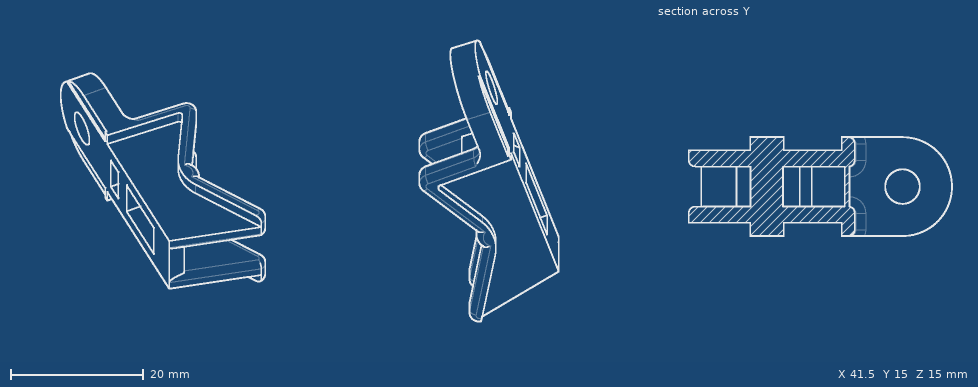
import cadquery as cq
import math


width = 15.0
total_length = 41.47
total_height = 15.0
lug_radius = width / 2
lug_thickness = 4.0
hole_diameter = 5.2
wall = 2.5
foot_end_x = 30.44

slot_width = 6.0
arm_width = (width - slot_width) / 2
rear_foot_x = 6.8
rear_lean = math.radians(3)
rear_slope = math.tan(rear_lean)
notch_angle = math.radians(30)
notch_slope = math.tan(notch_angle)
notch_x = 20.5
tip_radius = 1.5
arm_edge_radius = 1.0
root_radius = 1.5

bar_radius = 2.5
bar_y = 7.05

recess_depth = 2.0
rim_width = 2.0
rim_corner_radius = 0.5
rim_notch_radius = 6.0

cross_wall_height = 7.6
cross_wall_x = 8.0
wedge_start_x = 10.06
wedge_end_x = 12.72

window_start_x = 15.57
window_end_x = 25.1

pad_depth = 0.25
pad_end_x = 8.06
pad_inner_z = 5.33

lug_end_x = (cross_wall_x + wedge_start_x) / 2
front_tip_x = total_length - lug_radius
tip_center_y = total_height - tip_radius
front_corner_angle = notch_angle - math.asin((rim_width - tip_radius) / tip_radius)
front_corner_y = tip_center_y + tip_radius * math.sin(front_corner_angle)
tip_center_x = front_tip_x - tip_radius * math.cos(front_corner_angle)
notch_y = tip_center_y + tip_radius / math.cos(notch_angle) - (tip_center_x - notch_x) * notch_slope


def prism(outline, z_start, z_end):
    """Extrude a closed XY outline between two Z levels."""
    return outline.extrude(z_end - z_start).translate((0, 0, z_start))


def centered_prism(outline, depth):
    """Extrude a closed XY outline symmetrically about Z = 0."""
    return prism(outline, -depth / 2, depth / 2)


def both_sides(shape):
    """The +Z shape together with its mirror image at -Z."""
    return shape.union(shape.mirror("XY"))


def rear_crest(inset):
    """Corner where the rear wall meets the notch flank, both moved inwards by inset."""
    foot_x = rear_foot_x + inset / math.cos(rear_lean)
    flank_y = notch_y - inset / math.cos(notch_angle)
    y = (flank_y + (notch_x - foot_x) * notch_slope) / (1 + rear_slope * notch_slope)
    return foot_x, foot_x + y * rear_slope, y


def make_arm():
    """Arm at the +Z side with rounded edges along the rear, the notch and the tip."""
    foot_x, crest_x, crest_y = rear_crest(0)
    tip_start_x = tip_center_x - tip_radius * math.sin(notch_angle)
    tip_start_y = tip_center_y + tip_radius * math.cos(notch_angle)
    tip_mid_angle = (math.pi / 2 + notch_angle) / 2
    tip_mid = (
        tip_center_x + tip_radius * math.cos(tip_mid_angle),
        tip_center_y + tip_radius * math.sin(tip_mid_angle),
    )
    blank_bottom = -lug_thickness
    outline = (
        cq.Workplane("XY")
        .moveTo(foot_x + blank_bottom * rear_slope, blank_bottom)
        .lineTo(crest_x, crest_y)
        .lineTo(notch_x, notch_y)
        .lineTo(tip_start_x, tip_start_y)
        .threePointArc(tip_mid, (tip_center_x + tip_radius, tip_center_y))
        .lineTo(tip_center_x + tip_radius, blank_bottom)
        .close()
    )
    blank = prism(outline, slot_width / 2, width / 2)
    crest = cq.selectors.NearestToPointSelector((crest_x, crest_y, (slot_width + arm_width) / 2))
    blank = blank.edges("|Z").edges(crest).fillet(tip_radius)
    blank = blank.faces("<Z or >Z").edges("not <Y").fillet(arm_edge_radius)

    trim_top = 2 * total_height
    trim_top_x = foot_end_x + (front_tip_x - foot_end_x) * trim_top / front_corner_y
    trim = (
        cq.Workplane("XY")
        .moveTo(0, 0)
        .lineTo(foot_end_x, 0)
        .lineTo(trim_top_x, trim_top)
        .lineTo(0, trim_top)
        .close()
    )
    trim_solid = prism(trim, slot_width / 2, width / 2)
    inner_front_edge = trim_solid.faces("<Z").edges(">X")
    return blank.intersect(trim_solid.newObject(inner_front_edge.vals()).fillet(arm_edge_radius))


def plan_outline(half_width, end_x):
    """Closed XZ outline with a semicircular rear end and a square front end."""
    return (
        cq.Workplane("XZ")
        .moveTo(0, -half_width)
        .threePointArc((-half_width, 0), (0, half_width))
        .lineTo(end_x, half_width)
        .lineTo(end_x, -half_width)
        .close()
    )


def make_rear_body():
    """Lug and both arms, blended where the rear of each arm stands on the lug."""
    plate_half_width = lug_radius + 2 * root_radius
    plate = plan_outline(plate_half_width, lug_end_x).extrude(-lug_thickness)
    body = plate.union(both_sides(make_arm()))
    tolerance = 0.01
    root_zone = cq.selectors.BoxSelector(
        (0, lug_thickness - tolerance, -lug_radius - root_radius),
        (lug_end_x - tolerance, lug_thickness + tolerance, lug_radius + root_radius),
    )
    body = body.edges(root_zone).fillet(root_radius)
    return body.intersect(plan_outline(lug_radius, total_length).extrude(-total_height))


def make_cross_wall():
    """Wall between the arms, sloping at 45 degrees down to the floor that carries on to the front.

    It runs into the arms far enough to fill in behind their rounded inner edges.
    """
    ramp_sum = wedge_end_x + wall * math.sqrt(2)
    outline = (
        cq.Workplane("XY")
        .moveTo(cross_wall_x, 0)
        .lineTo(cross_wall_x, cross_wall_height)
        .lineTo(ramp_sum - cross_wall_height, cross_wall_height)
        .lineTo(ramp_sum - wall, wall)
        .lineTo(foot_end_x, wall)
        .lineTo(foot_end_x, 0)
        .close()
    )
    return centered_prism(outline, slot_width + 2 * arm_edge_radius)


def make_bar():
    """Round bar through both arms, with rounded ends."""
    outline = cq.Workplane("XY").center(notch_x, bar_y).circle(bar_radius)
    return centered_prism(outline, width).faces("|Z").edges().fillet(arm_edge_radius)


def make_side_recess():
    """Cutter for the recess in the outer side of the +Z arm."""
    foot_x, crest_x, crest_y = rear_crest(rim_width)
    apex_y = notch_y - rim_width / math.cos(notch_angle)
    end_x = total_length
    outline = (
        cq.Workplane("XY")
        .moveTo(foot_x, 0)
        .lineTo(crest_x, crest_y)
        .lineTo(notch_x, apex_y)
        .lineTo(end_x, apex_y + (end_x - notch_x) * notch_slope)
        .lineTo(end_x, 0)
        .close()
    )
    floor_z = width / 2 - recess_depth
    cutter = prism(outline, floor_z, width / 2)
    crest = cq.selectors.NearestToPointSelector((crest_x, crest_y, floor_z))
    apex = cq.selectors.NearestToPointSelector((notch_x, apex_y, floor_z))
    cutter = cutter.edges("|Z").edges(crest).fillet(rim_corner_radius)
    return cutter.edges("|Z").edges(apex).fillet(rim_notch_radius)


def make_window():
    """Cutter for the window through the floor under the bar."""
    outline = (
        cq.Workplane("XY")
        .moveTo(window_start_x, 0)
        .lineTo(window_end_x, 0)
        .lineTo(window_end_x, wall)
        .lineTo(window_start_x, wall)
        .close()
    )
    return centered_prism(outline, slot_width)


def make_wedge():
    """Cutter for the hollow under the cross wall, with a 45 degree roof."""
    outline = (
        cq.Workplane("XY")
        .moveTo(wedge_start_x, 0)
        .lineTo(wedge_end_x, 0)
        .lineTo(wedge_start_x, wedge_end_x - wedge_start_x)
        .close()
    )
    return centered_prism(outline, slot_width)


def make_marking_pad():
    """Cutter for the shallow pad along the +Z edge of the seating face."""
    outline = (
        cq.Workplane("XY")
        .moveTo(-lug_radius, 0)
        .lineTo(pad_end_x, 0)
        .lineTo(pad_end_x, pad_depth)
        .lineTo(-lug_radius, pad_depth)
        .close()
    )
    return prism(outline, pad_inner_z, width / 2)


body = make_rear_body()
body = body.union(make_cross_wall()).union(make_bar())
body = body.cut(both_sides(make_side_recess()))
body = body.cut(make_window()).cut(make_wedge()).cut(both_sides(make_marking_pad()))
hole = cq.Workplane("XZ").circle(hole_diameter / 2).extrude(-lug_thickness)
result = body.cut(hole)